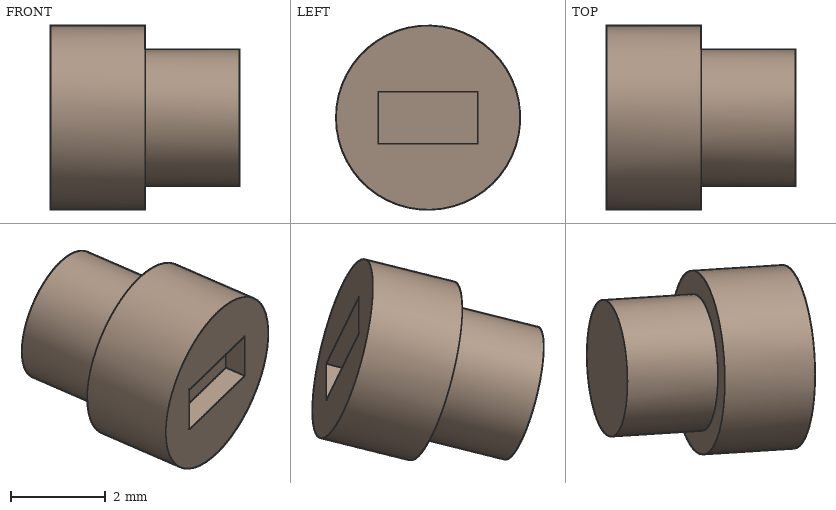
import cadquery as cq

total_length = 4.0
head_length = total_length / 2
head_diameter = 3.9
shank_diameter = 2.9

socket_width = 2.1
socket_height = 1.1
socket_depth = 0.48

head_face_x = -total_length / 2


def cylinder_along_x(start_x, length, diameter):
    """Solid cylinder on the X axis, growing toward +X."""
    return cq.Workplane("YZ", origin=(start_x, 0, 0)).circle(diameter / 2).extrude(length)


head = cylinder_along_x(head_face_x, head_length, head_diameter)
shank = cylinder_along_x(head_face_x + head_length, total_length - head_length, shank_diameter)

socket = (
    cq.Workplane("YZ", origin=(head_face_x, 0, 0))
    .rect(socket_width, socket_height)
    .extrude(socket_depth)
)

result = head.union(shank).cut(socket)